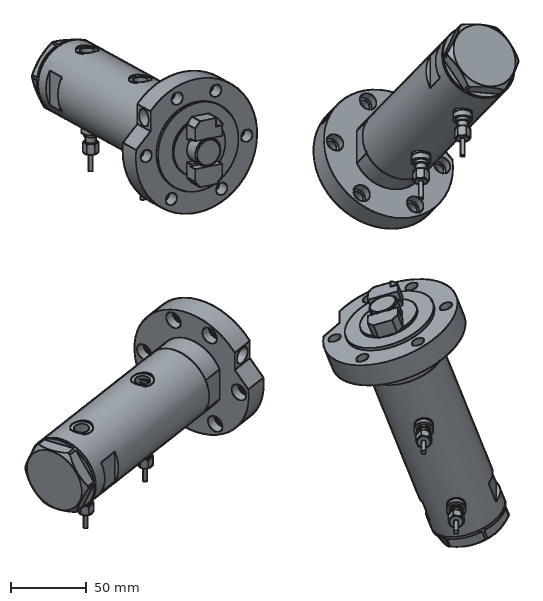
import cadquery as cq
import math


CAP_HEX_LENGTH = 9.1
BARREL_START = 11.0
FLANGE_START = 153.3
FLANGE_END = 170.2
PILOT_END = 172.5
TAIL_START = 101.7
BUSHING_END = 174.1
JAW_START = 175.0
ROD_HEAD_START = 179.3
ROD_END = 185.7

BARREL_RADIUS = 26.0
BORE_RADIUS = 15.0
TAIL_RADIUS = 22.3
BUSHING_RADIUS = 20.0
FLAT_OFFSET = 23.0
FRONT_FLAT_START = 20.9
FRONT_FLAT_END = 36.1
HEAD_START = 137.6
FLANGE_RADIUS = 94.0 / 2
PILOT_RADIUS = 31.1
NOTCH_DEPTH_Y = 35.5
NOTCH_BOTTOM_Z = 16.8
CROSS_HOLE_RADIUS = 6.0
CROSS_HOLE_Z = 23.8
BOLT_CIRCLE_RADIUS = 39.0
BOLT_ANGLES = (0, 67.5, 112.5, 180, 240, 300)
BOLT_HOLE_RADIUS = 4.3
COUNTERBORE_RADIUS = 6.0
COUNTERBORE_DEPTH = 7.0
PORT_STATIONS = (30.4, 98.5)
PORT_RADIUS = 5.0
SPOTFACE_RADIUS = 7.6
SPOTFACE_Z = 24.8

HEX_ACROSS_FLATS = 46.0
HEX_TURN = 22.8
CAP_FACE_RADIUS = 22.5
CAP_CHAMFER_LENGTH = 2.6
SPIGOT_END = 37.2

ROD_RADIUS = 19.5 / 2
NECK_HALF_HEIGHT = 8.2
ROD_CHAMFER = 1.0
JAW_WIDTH = 20.9
JAW_HEIGHT = 46.4
JAW_CHAMFER_Y = 4.0
JAW_CHAMFER_Z = 4.5
PAD_WIDTH = 4.8
PAD_HEIGHT = 5.8
PAD_THICKNESS = 0.5

SENSOR_STATIONS = (35.0, 101.5)
COLLAR_RADIUS = 6.3
COLLAR_TOP = -27.2
COLLAR_BOTTOM = -31.1
STEP_RADIUS = 4.7
STEP_BOTTOM = -33.3
NECK_RADIUS = 3.5
NUT_TOP = -37.6
NUT_BOTTOM = -45.6
NUT_ACROSS_FLATS = 9.3
NUT_CHAMFER = 1.0
NUT_TURN = 30
CABLE_RADIUS = 1.5
OVERALL_HEIGHT = 105.2
CABLE_BOTTOM = FLANGE_RADIUS - OVERALL_HEIGHT


def cylinder_x(radius, start, end):
    """Cylinder about the X axis."""
    return cq.Workplane("YZ").workplane(offset=start).circle(radius).extrude(end - start)


def cylinder_z(radius, x, bottom, top):
    """Upright cylinder standing at (x, 0)."""
    return cq.Workplane("XY").workplane(offset=bottom).center(x, 0).circle(radius).extrude(top - bottom)


def block(x_range, y_range, z_range):
    """Box between pairs of coordinates."""
    low, high = zip(x_range, y_range, z_range)
    sizes = [b - a for a, b in zip(low, high)]
    return cq.Workplane("XY").box(*sizes, centered=False).translate(low)


def cut_wrench_flats(body, start, end):
    """Mill a flat on the +Y and -Y sides of a body that has the barrel's radius."""
    for near, far in ((FLAT_OFFSET, BARREL_RADIUS), (-BARREL_RADIUS, -FLAT_OFFSET)):
        body = body.cut(block((start, end), (near, far), (-BARREL_RADIUS, BARREL_RADIUS)))
    return body


def make_flange():
    """Notched flange with a cross hole and counterbored bolt holes."""
    flange = cylinder_x(FLANGE_RADIUS, FLANGE_START, FLANGE_END)
    ramp_rise = FLANGE_RADIUS - NOTCH_DEPTH_Y
    notch = (
        cq.Workplane("YZ").workplane(offset=FLANGE_START)
        .moveTo(-NOTCH_DEPTH_Y, FLANGE_RADIUS)
        .lineTo(-NOTCH_DEPTH_Y, NOTCH_BOTTOM_Z)
        .lineTo(-FLANGE_RADIUS, NOTCH_BOTTOM_Z - ramp_rise)
        .lineTo(-FLANGE_RADIUS, FLANGE_RADIUS)
        .close().extrude(FLANGE_END - FLANGE_START)
    )
    cross_hole = (
        cq.Workplane("XZ").center((FLANGE_START + FLANGE_END) / 2, CROSS_HOLE_Z)
        .circle(CROSS_HOLE_RADIUS).extrude(FLANGE_RADIUS, both=True)
    )
    flange = flange.cut(notch).cut(cross_hole)
    for angle in BOLT_ANGLES:
        y = BOLT_CIRCLE_RADIUS * math.cos(math.radians(angle))
        z = BOLT_CIRCLE_RADIUS * math.sin(math.radians(angle))
        hole = cylinder_x(BOLT_HOLE_RADIUS, FLANGE_START, FLANGE_END)
        counterbore = cylinder_x(COUNTERBORE_RADIUS, FLANGE_START, FLANGE_START + COUNTERBORE_DEPTH)
        flange = flange.cut(hole.union(counterbore).translate((0, y, z)))
    return flange


def make_barrel():
    """Barrel with two ports on top and two bosses below for the sensors."""
    barrel = cylinder_x(BARREL_RADIUS, BARREL_START, HEAD_START)
    barrel = cut_wrench_flats(barrel, FRONT_FLAT_START, FRONT_FLAT_END)
    for x in SENSOR_STATIONS:
        barrel = barrel.union(cylinder_z(COLLAR_RADIUS, x, COLLAR_TOP, -TAIL_RADIUS))
    for x in PORT_STATIONS:
        barrel = barrel.cut(cylinder_z(PORT_RADIUS, x, 0, BARREL_RADIUS))
        barrel = barrel.cut(cylinder_z(SPOTFACE_RADIUS, x, SPOTFACE_Z, BARREL_RADIUS))
    barrel = barrel.cut(cylinder_x(BORE_RADIUS, BARREL_START, TAIL_START))
    return barrel.cut(cylinder_x(TAIL_RADIUS, TAIL_START, HEAD_START))


def make_head():
    """Mounting head: a tail inside the barrel, a neck with wrench flats, the flange and its pilot."""
    tail = cylinder_x(TAIL_RADIUS, TAIL_START, HEAD_START)
    neck = cylinder_x(BARREL_RADIUS, HEAD_START, FLANGE_START)
    neck = cut_wrench_flats(neck, HEAD_START, FLANGE_START)
    pilot = cylinder_x(PILOT_RADIUS, FLANGE_END, PILOT_END)
    head = tail.union(neck).union(make_flange()).union(pilot)
    return head.cut(cylinder_x(BUSHING_RADIUS, TAIL_START, PILOT_END))


def make_cap():
    """Hexagon cap with chamfered corners, a round collar and a spigot filling the bore."""
    hexagon = (
        cq.Workplane("YZ").polygon(6, HEX_ACROSS_FLATS, circumscribed=True)
        .extrude(CAP_HEX_LENGTH).rotate((0, 0, 0), (1, 0, 0), HEX_TURN)
    )
    turned = (
        cq.Workplane("XY")
        .moveTo(0, 0)
        .lineTo(0, CAP_FACE_RADIUS)
        .lineTo(CAP_CHAMFER_LENGTH, BARREL_RADIUS)
        .lineTo(CAP_HEX_LENGTH, BARREL_RADIUS)
        .lineTo(CAP_HEX_LENGTH, 0)
        .close().revolve(360, (0, 0, 0), (1, 0, 0))
    )
    collar = cylinder_x(BARREL_RADIUS, CAP_HEX_LENGTH, BARREL_START)
    spigot = cylinder_x(BORE_RADIUS, BARREL_START, SPIGOT_END)
    return hexagon.intersect(turned).union(collar).union(spigot)


def make_bushing():
    """Sleeve inside the head that guides the rod."""
    bushing = cylinder_x(BUSHING_RADIUS, TAIL_START, BUSHING_END)
    return bushing.cut(cylinder_x(ROD_RADIUS, TAIL_START, BUSHING_END))


def make_rod():
    """Round rod reaching to the cap's spigot, with a flat-sided neck behind its head."""
    rod = cylinder_x(ROD_RADIUS, SPIGOT_END, ROD_END).faces(">X").chamfer(ROD_CHAMFER)
    for low, high in ((NECK_HALF_HEIGHT, ROD_RADIUS), (-ROD_RADIUS, -NECK_HALF_HEIGHT)):
        rod = rod.cut(block((BUSHING_END, ROD_HEAD_START), (-ROD_RADIUS, ROD_RADIUS), (low, high)))
    return rod


def make_jaws():
    """Upper and lower coupling jaws, stepped to fit the neck and head of the rod."""
    half_width = JAW_WIDTH / 2
    half_height = JAW_HEIGHT / 2
    half_jaw = [
        (-half_width, NECK_HALF_HEIGHT),
        (half_width, NECK_HALF_HEIGHT),
        (half_width, half_height - JAW_CHAMFER_Z),
        (half_width - JAW_CHAMFER_Y, half_height),
        (JAW_CHAMFER_Y - half_width, half_height),
        (-half_width, half_height - JAW_CHAMFER_Z),
    ]
    profile = cq.Workplane("YZ").workplane(offset=JAW_START).polyline(half_jaw).close()
    bar = profile.extrude(ROD_END + PAD_THICKNESS - JAW_START)
    head_recess = block((ROD_HEAD_START, ROD_END), (-half_width, half_width), (NECK_HALF_HEIGHT, ROD_RADIUS))
    bar = bar.cut(head_recess)
    end_range = (ROD_END, ROD_END + PAD_THICKNESS)
    end_layer = block(end_range, (-half_width, half_width), (0, half_height))
    pad = block(end_range, (half_width - PAD_WIDTH, half_width), (half_height - PAD_HEIGHT, half_height))
    upper = bar.cut(end_layer.cut(pad))
    lower = bar.cut(end_layer).mirror("XY")
    return [upper.val(), lower.val()]


def make_sensor(x):
    """Stepped sensor with a hexagon nut and a short length of cable."""
    corner_radius = NUT_ACROSS_FLATS / math.sqrt(3)
    hexagon = (
        cq.Workplane("XY").workplane(offset=NUT_BOTTOM).center(x, 0)
        .transformed(rotate=(0, 0, NUT_TURN))
        .polygon(6, NUT_ACROSS_FLATS, circumscribed=True).extrude(NUT_TOP - NUT_BOTTOM)
    )
    turned = cylinder_z(corner_radius, x, NUT_BOTTOM, NUT_TOP).edges("%CIRCLE").chamfer(NUT_CHAMFER)
    sensor = hexagon.intersect(turned)
    sensor = sensor.union(cylinder_z(COLLAR_RADIUS, x, COLLAR_BOTTOM, COLLAR_TOP))
    sensor = sensor.union(cylinder_z(STEP_RADIUS, x, STEP_BOTTOM, COLLAR_BOTTOM))
    sensor = sensor.union(cylinder_z(NECK_RADIUS, x, NUT_TOP, STEP_BOTTOM))
    return sensor.union(cylinder_z(CABLE_RADIUS, x, CABLE_BOTTOM, NUT_BOTTOM))


barrel = make_barrel()
head = make_head()
cap = make_cap()
bushing = make_bushing()
rod = make_rod()
jaws = make_jaws()
sensors = [make_sensor(x).val() for x in SENSOR_STATIONS]

result = cq.Compound.makeCompound(
    [barrel.val(), head.val(), cap.val(), bushing.val(), rod.val(), *jaws, *sensors]
)